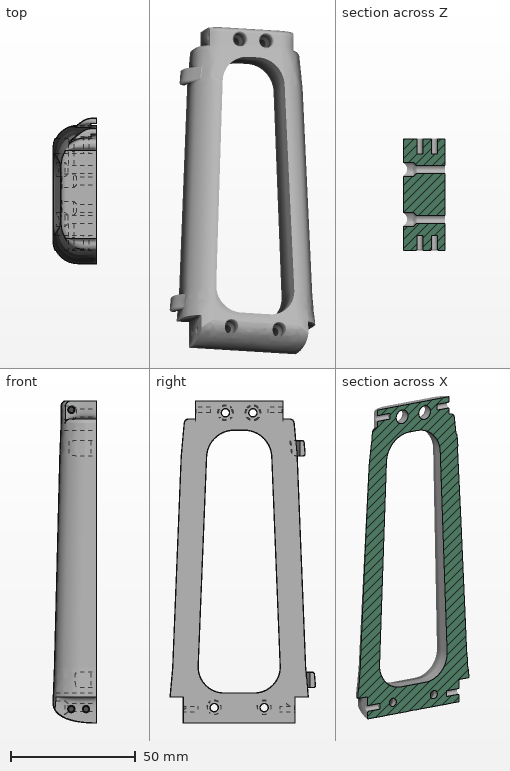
import cadquery as cq
import math

TOTAL_HEIGHT = 129.0
BODY_BOTTOM = 10.4
LOWER_SECTION = 22.1
UPPER_SECTION = 106.7
SHOULDER_TOP = 121.8

CORNER_RADIUS = 10.0
LOWER_HALF_WIDTH = 26.65
UPPER_HALF_WIDTH = 23.25
LOWER_DEPTH = 16.9
UPPER_DEPTH = 14.75
END_SIDE_SLOPE = 0.0905
END_FRONT_SLOPE = 0.04
TOP_FILLET = 2.0

UPPER_TONGUE_WIDTH = 35.1
LOWER_TONGUE_WIDTH = 44.8
NOSE_HEIGHT = 8.35
NOSE_FLAT_PULL = 11.0
NOSE_FRONT_PULL = 5.5

WINDOW_BOTTOM = 12.1
WINDOW_TOP = 117.2
WINDOW_LOWER_HALF_WIDTH = 16.4
WINDOW_UPPER_HALF_WIDTH = 13.0
WINDOW_LOWER_RADIUS = 10.3
WINDOW_UPPER_RADIUS = 11.0

SCREW_DIAMETER = 3.2
HEAD_DIAMETER = 5.5
HEAD_RECESS_DEPTH = 5.0
HEAD_CHAMFER = 0.4
UPPER_SCREW_SPACING = 11.0
UPPER_SCREW_Z = 124.2
LOWER_SCREW_SPACING = 20.0
LOWER_SCREW_Z = 6.2

PIN_DIAMETER = 2.2
PIN_DEPTH = 6.0
PIN_CHAMFER = 0.35
UPPER_PINS = [(-10.1, 125.4)]
LOWER_PINS = [(-10.1, 5.6), (-4.2, 5.6)]

LUG_HEIGHT = 6.2
LUG_BOTTOMS = [14.2, 106.9]
LUG_REACH = 3.28
LUG_FLAT = 1.7
LUG_BEND_RADIUS = 7.0
LUG_RAMP_ANGLE = 37.0
LUG_END = 11.0
LUG_WALL = 2.25
LUG_SLOT_DEPTH = 2.3
LUG_FILLET = 0.9

SPAN = 100.0


def interpolate(z, lower_value, upper_value):
    fraction = (z - LOWER_SECTION) / (UPPER_SECTION - LOWER_SECTION)
    return lower_value + fraction * (upper_value - lower_value)


def tapered(z, lower_value, upper_value, end_slope):
    """Size at height z: linear between the sections, end_slope beyond, constant above the shoulders."""
    z = min(z, SHOULDER_TOP)
    if z < LOWER_SECTION:
        return lower_value + end_slope * (LOWER_SECTION - z)
    if z > UPPER_SECTION:
        return upper_value - end_slope * (z - UPPER_SECTION)
    return interpolate(z, lower_value, upper_value)


def half_width(z):
    return tapered(z, LOWER_HALF_WIDTH, UPPER_HALF_WIDTH, END_SIDE_SLOPE)


def depth(z):
    return tapered(z, LOWER_DEPTH, UPPER_DEPTH, END_FRONT_SLOPE)


def section(z):
    """D-shaped outline of the body at height z, rounded at the two front corners."""
    y = half_width(z)
    x = -depth(z)
    r = CORNER_RADIUS
    bulge = r * (1 - 0.5 ** 0.5)
    outline = (
        cq.Workplane("XY", origin=(0, 0, z))
        .moveTo(0, -y)
        .lineTo(x + r, -y)
        .threePointArc((x + bulge, -y + bulge), (x, -y + r))
        .lineTo(x, y - r)
        .threePointArc((x + bulge, y - bulge), (x + r, y))
        .lineTo(0, y)
        .close()
    )
    return outline.val()


def tapered_body(top):
    """Solid from Z = 0 to top, with its upper rim rounded except along the back."""
    levels = [0, LOWER_SECTION, UPPER_SECTION, SHOULDER_TOP]
    if top > SHOULDER_TOP:
        levels.append(top)
    body = cq.Workplane(cq.Solid.makeLoft([section(z) for z in levels], True))
    back_edge = cq.selectors.NearestToPointSelector((0, 0, top))
    rim = body.faces(">Z").edges(cq.selectors.InverseSelector(back_edge))
    return rim.fillet(TOP_FILLET)


def block(width, bottom, top):
    """Box centred on Y = 0 that spans the whole depth between two heights."""
    return cq.Workplane("XY", origin=(0, 0, bottom)).box(
        2 * SPAN, width, top - bottom, centered=(True, True, False)
    )


def nose():
    """Lower tongue envelope with the rounded nose, up to the body underside."""
    front = -depth(NOSE_HEIGHT)
    return (
        cq.Workplane("XZ", origin=(0, LOWER_TONGUE_WIDTH / 2, 0))
        .moveTo(0, 0)
        .bezier([
            (0, 0),
            (-NOSE_FLAT_PULL, 0),
            (front, NOSE_HEIGHT - NOSE_FRONT_PULL),
            (front, NOSE_HEIGHT),
        ])
        .lineTo(front, BODY_BOTTOM)
        .lineTo(0, BODY_BOTTOM)
        .close()
        .extrude(LOWER_TONGUE_WIDTH)
    )


def shoulder_waste():
    """Material removed beside the upper tongue to leave the rounded shoulders."""
    shoulder_edge = SHOULDER_TOP - TOP_FILLET
    around = block(SPAN, shoulder_edge, TOTAL_HEIGHT)
    tongue = block(UPPER_TONGUE_WIDTH, shoulder_edge, TOTAL_HEIGHT)
    return around.cut(tongue).cut(tapered_body(SHOULDER_TOP))


def nose_waste():
    """Material removed below the body to leave the lower tongue."""
    return block(SPAN, 0, BODY_BOTTOM).cut(nose())


def frame():
    return tapered_body(TOTAL_HEIGHT).cut(shoulder_waste()).cut(nose_waste())


def window():
    bottom = interpolate(WINDOW_BOTTOM, WINDOW_LOWER_HALF_WIDTH, WINDOW_UPPER_HALF_WIDTH)
    top = interpolate(WINDOW_TOP, WINDOW_LOWER_HALF_WIDTH, WINDOW_UPPER_HALF_WIDTH)
    return (
        cq.Workplane("YZ", origin=(-SPAN / 2, 0, 0))
        .polyline([
            (-bottom, WINDOW_BOTTOM),
            (bottom, WINDOW_BOTTOM),
            (top, WINDOW_TOP),
            (-top, WINDOW_TOP),
        ])
        .close()
        .extrude(SPAN)
        .edges("|X and <Z")
        .fillet(WINDOW_LOWER_RADIUS)
        .edges("|X and >Z")
        .fillet(WINDOW_UPPER_RADIUS)
    )


def screw_hole(y, z):
    """Through hole along X with a chamfered straight head recess ending in a 90 degree cone."""
    shank = SCREW_DIAMETER / 2
    head = HEAD_DIAMETER / 2
    mouth = head + HEAD_CHAMFER
    front = -depth(z)
    seat = front + HEAD_RECESS_DEPTH
    return (
        cq.Workplane("XY", origin=(0, y, z))
        .polyline([
            (-SPAN, 0),
            (-SPAN, mouth),
            (front, mouth),
            (front + HEAD_CHAMFER, head),
            (seat, head),
            (seat + head - shank, shank),
            (SPAN, shank),
            (SPAN, 0),
        ])
        .close()
        .revolve(360, (0, 0, 0), (1, 0, 0))
    )


def pin_hole(x, z, tongue_width):
    """Chamfered blind hole from the -Y end of a tongue."""
    end = -tongue_width / 2
    radius = PIN_DIAMETER / 2
    return (
        cq.Workplane("XY", origin=(x, end, z))
        .polyline([
            (0, 0),
            (radius + PIN_CHAMFER, 0),
            (radius, PIN_CHAMFER),
            (radius, PIN_DEPTH),
            (0, PIN_DEPTH),
        ])
        .close()
        .revolve(360, (0, 0, 0), (0, 1, 0))
    )


def lug(bottom):
    """Hooked lug leaning with the body side, with a straight slot open to the back."""
    side = half_width(bottom)
    outer = side + LUG_REACH
    root = side - CORNER_RADIUS / 2
    lean = half_width(bottom + LUG_HEIGHT) - side
    angle = math.radians(LUG_RAMP_ANGLE)
    ramp_x = -LUG_FLAT - LUG_BEND_RADIUS * math.sin(angle)
    ramp_y = outer - LUG_BEND_RADIUS * (1 - math.cos(angle))
    ramp_drop = (ramp_x + LUG_END) * math.tan(angle)
    outline = (
        cq.Workplane("XY", origin=(0, 0, bottom))
        .moveTo(0, root)
        .lineTo(0, outer)
        .lineTo(-LUG_FLAT, outer)
        .tangentArcPoint((ramp_x, ramp_y), relative=False)
        .lineTo(-LUG_END, ramp_y - ramp_drop)
        .lineTo(-LUG_END, root)
        .close()
    )
    direction = cq.Vector(0, lean, LUG_HEIGHT)
    hook = cq.Workplane(cq.Solid.extrudeLinear(outline.val(), [], direction))
    along_face = cq.selectors.ParallelDirSelector(cq.Vector(1, 0, 0))
    along_ramp = cq.selectors.ParallelDirSelector(cq.Vector(math.cos(angle), math.sin(angle), 0))
    bends = cq.selectors.TypeSelector("CIRCLE")
    rim = hook.edges(cq.selectors.SumSelector(cq.selectors.SumSelector(along_face, along_ramp), bends))
    slot_outer = outer - LUG_WALL
    slot = cq.Workplane("XY", origin=(-LUG_SLOT_DEPTH, root, bottom)).box(
        LUG_SLOT_DEPTH, slot_outer - root, LUG_HEIGHT, centered=False
    )
    return rim.fillet(LUG_FILLET).cut(slot)


result = frame().cut(window())
for lug_bottom in LUG_BOTTOMS:
    result = result.union(lug(lug_bottom))
for sign in (-1, 1):
    result = result.cut(screw_hole(sign * UPPER_SCREW_SPACING / 2, UPPER_SCREW_Z))
    result = result.cut(screw_hole(sign * LOWER_SCREW_SPACING / 2, LOWER_SCREW_Z))
for pin_x, pin_z in UPPER_PINS:
    hole = pin_hole(pin_x, pin_z, UPPER_TONGUE_WIDTH)
    result = result.cut(hole).cut(hole.mirror("XZ"))
for pin_x, pin_z in LOWER_PINS:
    hole = pin_hole(pin_x, pin_z, LOWER_TONGUE_WIDTH)
    result = result.cut(hole).cut(hole.mirror("XZ"))